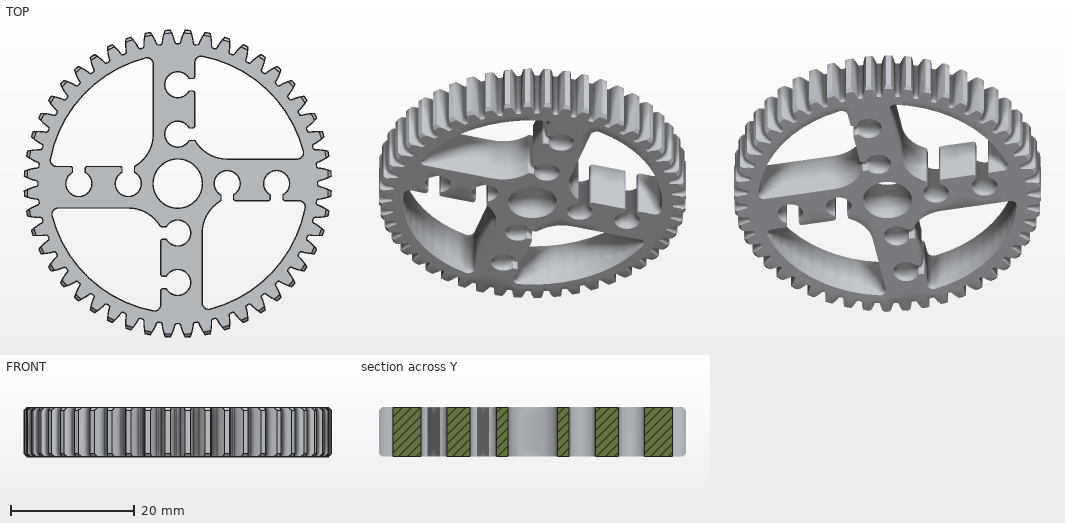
import cadquery as cq
import math

TOOTH_COUNT = 48
PITCH_RADIUS = 23.95
OVERALL_WIDTH = 49.75
ROOT_RADIUS = 22.7
PRESSURE_ANGLE = math.radians(20)
ROOT_FILLET = 0.3
FACE_WIDTH = 8.0
TIP_CHAMFER = 0.5
FLANK_POINTS = 5
TIP_CLEARANCE = 0.25

BORE_RADIUS = 4.0
RIM_INNER_RADIUS = 21.0
SPOKE_COUNT = 4
SPOKE_PLAIN_SIDE = 4.0
SPOKE_OPEN_SIDE = 2.8
HUB_BLEND_START = 8.0
RIM_FILLET = 1.0

HOLE_SPACING = 8.0
HOLES_PER_SPOKE = 2
HOLE_RADIUS = 2.1
MOUTH_WIDTH = 2.0
MOUTH_FILLET = 0.4
MOUTH_OVERRUN = 0.25

base_radius = PITCH_RADIUS * math.cos(PRESSURE_ANGLE)


def involute(angle):
    """Involute function of a pressure angle."""
    return math.tan(angle) - angle


def half_gap_angle(radius):
    """Half the angle of the space between two teeth at the given radius."""
    flank_angle = math.acos(base_radius / radius)
    spread = involute(flank_angle) - involute(PRESSURE_ANGLE)
    return math.pi / (2 * TOOTH_COUNT) + spread


def polar(radius, angle):
    """Point at a radius and an angle from +X."""
    return (radius * math.cos(angle), radius * math.sin(angle))


half_width = OVERALL_WIDTH / 2
tip_radius = half_width / math.cos(half_gap_angle(half_width))


def make_tooth_gap():
    """Cutter for the tooth space centred on +X, with involute flanks and rounded root corners."""
    outer_radius = tip_radius + TIP_CLEARANCE
    step = (outer_radius - ROOT_RADIUS) / (FLANK_POINTS - 1)
    radii = [ROOT_RADIUS + i * step for i in range(FLANK_POINTS)]
    upper_flank = [polar(r, half_gap_angle(r)) for r in radii]
    lower_flank = [(x, -y) for x, y in reversed(upper_flank)]
    return (
        cq.Workplane("XY")
        .moveTo(*upper_flank[0])
        .spline(upper_flank[1:], includeCurrent=True)
        .lineTo(*lower_flank[0])
        .spline(lower_flank[1:], includeCurrent=True)
        .close()
        .extrude(FACE_WIDTH)
        .edges("|Z and <X")
        .fillet(ROOT_FILLET)
    )


def make_pocket():
    """Cutter for the window in the +X +Y quadrant.

    The hub curve is tangent to the plain wall and ends at the edge of the innermost mouth.
    """
    blend_run = HUB_BLEND_START - SPOKE_OPEN_SIDE
    blend_rise = HOLE_SPACING - MOUTH_WIDTH / 2 - SPOKE_PLAIN_SIDE
    blend_radius = (blend_run**2 + blend_rise**2) / (2 * blend_rise)
    half_sweep = math.atan2(blend_rise, blend_run)
    blend_start = (HUB_BLEND_START, SPOKE_PLAIN_SIDE)
    blend_middle = (
        HUB_BLEND_START - blend_radius * math.sin(half_sweep),
        SPOKE_PLAIN_SIDE + blend_radius * (1 - math.cos(half_sweep)),
    )
    blend_end = (SPOKE_OPEN_SIDE, SPOKE_PLAIN_SIDE + blend_rise)
    rim_start = (math.sqrt(RIM_INNER_RADIUS**2 - SPOKE_PLAIN_SIDE**2), SPOKE_PLAIN_SIDE)
    rim_middle = polar(RIM_INNER_RADIUS, math.pi / 4)
    rim_end = (SPOKE_OPEN_SIDE, math.sqrt(RIM_INNER_RADIUS**2 - SPOKE_OPEN_SIDE**2))
    return (
        cq.Workplane("XY")
        .moveTo(*blend_start)
        .lineTo(*rim_start)
        .threePointArc(rim_middle, rim_end)
        .lineTo(*blend_end)
        .threePointArc(blend_middle, blend_start)
        .close()
        .extrude(FACE_WIDTH)
        .edges("|Z and (>X or >Y)")
        .fillet(RIM_FILLET)
    )


def make_snap_holes():
    """Cutter for the holes along the +Y spoke, each with a mouth open towards +X."""
    centres = [(0, HOLE_SPACING * (i + 1)) for i in range(HOLES_PER_SPOKE)]
    mouth_length = SPOKE_OPEN_SIDE + MOUTH_OVERRUN
    mouths = [(mouth_length / 2, y) for _, y in centres]
    holes = cq.Workplane("XY").pushPoints(centres).circle(HOLE_RADIUS).extrude(FACE_WIDTH)
    openings = cq.Workplane("XY").pushPoints(mouths).rect(mouth_length, MOUTH_WIDTH).extrude(FACE_WIDTH)
    return holes.union(openings)


def make_window():
    """Pocket joined to its snap holes, with the lips of the mouths rounded."""
    lip_zone = cq.selectors.BoxSelector(
        (SPOKE_OPEN_SIDE - MOUTH_OVERRUN, 0, 0),
        (SPOKE_OPEN_SIDE + MOUTH_OVERRUN, HOLE_SPACING * HOLES_PER_SPOKE + MOUTH_WIDTH, FACE_WIDTH),
    )
    window = make_pocket().union(make_snap_holes())
    return window.edges("|Z").edges(lip_zone).fillet(MOUTH_FILLET)


def around_axis(cutter, count):
    """Copies of a cutter spaced evenly around Z."""
    return [cutter.rotate((0, 0, 0), (0, 0, 1), i * 360 / count).val() for i in range(count)]


def make_blank():
    """Bored disc with both outer rims chamfered."""
    disc = cq.Workplane("XY").circle(tip_radius).extrude(FACE_WIDTH)
    disc = disc.faces("<Z or >Z").edges().chamfer(TIP_CHAMFER)
    bore = cq.Workplane("XY").circle(BORE_RADIUS).extrude(FACE_WIDTH)
    return disc.cut(bore)


tooth_gaps = around_axis(make_tooth_gap(), TOOTH_COUNT)
windows = around_axis(make_window(), SPOKE_COUNT)
gear = make_blank().val().cut(*tooth_gaps, *windows)
result = cq.Workplane(gear.Solids()[0])